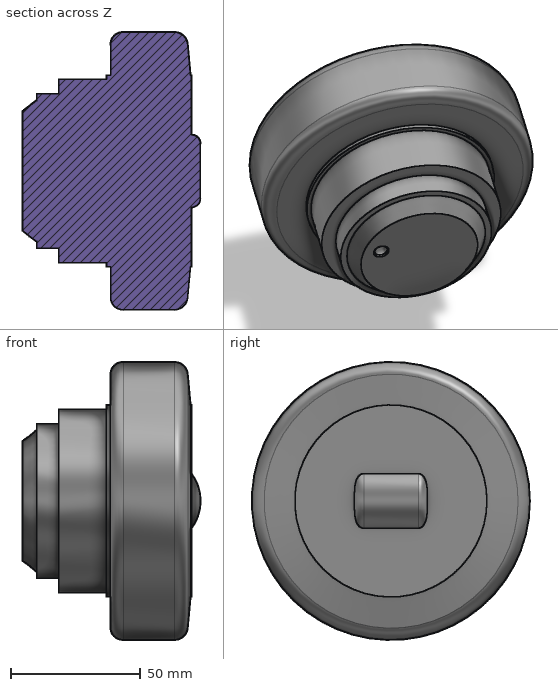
import cadquery as cq
import math

nose_end = 5.5
step_end = 14.0
shank_end = 32.5
tyre_start = 34.0
taper_end = 65.2
face_collar_end = 65.5
overall_length = 69.0

nose_tip_radius = 23.2
nose_radius = 27.5
step_radius = 29.9
shank_radius = 35.5
collar_radius = 37.2
tyre_radius = 53.8
face_collar_radius = collar_radius

stub_side_round = 5.0
face_side_round = 5.3
face_side_round_start = 58.8
face_taper = math.radians(6.0)

roller_radius = 17.5
roller_width = 28.2
roller_round = 3.6

hole_pitch_radius = 16.0
hole_angle = 20.0
hole_radius = 2.5
hole_mouth_radius = 3.0
hole_depth = 12.9
drill_half_angle = math.radians(59.0)


def turned_body():
    """Stepped stub and tyre, drawn as (x, radius) and turned about X."""
    round_center_x = face_side_round_start
    round_center_r = tyre_radius - face_side_round
    middle_angle = math.pi / 4 + face_taper / 2
    round_middle = (
        round_center_x + face_side_round * math.sin(middle_angle),
        round_center_r + face_side_round * math.cos(middle_angle),
    )
    round_end = (
        round_center_x + face_side_round * math.cos(face_taper),
        round_center_r + face_side_round * math.sin(face_taper),
    )
    diagonal = stub_side_round * (1 - math.sqrt(0.5))
    profile = (
        cq.Workplane("XY")
        .lineTo(0, nose_tip_radius)
        .lineTo(nose_end, nose_radius)
        .lineTo(nose_end, step_radius)
        .lineTo(step_end, step_radius)
        .lineTo(step_end, shank_radius)
        .lineTo(shank_end, shank_radius)
        .lineTo(shank_end, collar_radius)
        .lineTo(tyre_start, collar_radius)
        .lineTo(tyre_start, tyre_radius - stub_side_round)
        .threePointArc(
            (tyre_start + diagonal, tyre_radius - diagonal),
            (tyre_start + stub_side_round, tyre_radius),
        )
        .lineTo(face_side_round_start, tyre_radius)
        .threePointArc(round_middle, round_end)
        .lineTo(taper_end, face_collar_radius)
        .lineTo(face_collar_end, face_collar_radius)
        .lineTo(face_collar_end, 0)
        .close()
    )
    return profile.revolve(360, (0, 0, 0), (1, 0, 0))


def side_roller():
    """Round-edged roller that reaches the overall length of the part."""
    return (
        cq.Workplane("XZ", origin=(overall_length - roller_radius, 0, 0))
        .circle(roller_radius)
        .extrude(roller_width / 2, both=True)
        .edges()
        .fillet(roller_round)
    )


def end_hole():
    """Blind drilled hole with a 45 degree mouth and a drill-point bottom."""
    angle = math.radians(hole_angle)
    center_y = hole_pitch_radius * math.cos(angle)
    center_z = hole_pitch_radius * math.sin(angle)
    mouth_depth = hole_mouth_radius - hole_radius
    point_depth = hole_radius / math.tan(drill_half_angle)
    cutter = (
        cq.Workplane("XY")
        .lineTo(0, hole_mouth_radius)
        .lineTo(mouth_depth, hole_radius)
        .lineTo(hole_depth, hole_radius)
        .lineTo(hole_depth + point_depth, 0)
        .close()
        .revolve(360, (0, 0, 0), (1, 0, 0))
    )
    return cutter.translate((0, center_y, center_z))


result = turned_body().union(side_roller()).cut(end_hole())